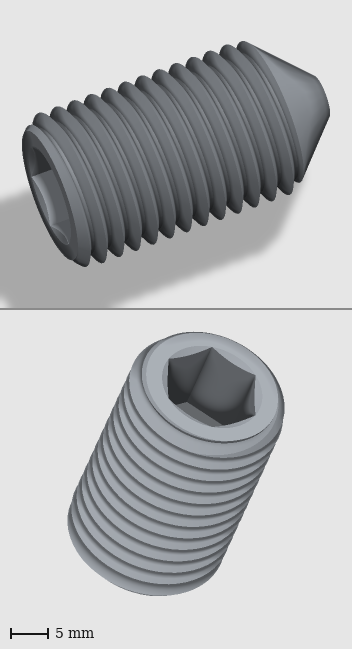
import cadquery as cq
import math

length = 40.0
major_radius = 22.0 / 2
tip_radius = 3.0
head_face_radius = 9.3
envelope_radius = major_radius + 0.8

pitch = length / 16
root_radius = 9.25
root_flat = 0.5
first_crest_offset = 1.0
lead_in_turns = 2
ridge_embed = 0.2

socket_flats = 12.2
socket_corners = socket_flats / math.cos(math.pi / 6)
socket_depth = 12.0
mouth_angle = 30.0


def revolve_profile(outline):
    """Turn an outline of (radius, height) points about the screw axis."""
    return cq.Workplane("XZ").polyline(outline).close().revolve(360, (0, 0), (0, 1))


def make_point_profile(radius):
    """Outline points of the 45 degree point rising from a given radius to the tip and the axis."""
    cone_length = radius - tip_radius
    return [(radius, length - cone_length), (tip_radius, length), (0, length)]


def make_core():
    """Body inside the thread roots, ending in the point."""
    return revolve_profile([(0, 0), (root_radius, 0)] + make_point_profile(root_radius))


def make_end_envelope():
    """Oversize body whose 45 degree head chamfer and point trim the thread ends."""
    head = [(0, 0), (head_face_radius, 0), (envelope_radius, envelope_radius - head_face_radius)]
    return revolve_profile(head + make_point_profile(envelope_radius))


def make_thread_ridge():
    """V-shaped ridge swept along a helix that overruns both ends of the screw."""
    start = first_crest_offset - lead_in_turns * pitch
    base_radius = root_radius - ridge_embed
    root_half = (pitch - root_flat) / 2
    base_half = root_half * (major_radius - base_radius) / (major_radius - root_radius)
    section = [
        (base_radius, start - base_half),
        (major_radius, start),
        (base_radius, start + base_half),
    ]
    helix = cq.Wire.makeHelix(pitch, length - start, root_radius).translate(cq.Vector(0, 0, start))
    return cq.Workplane("XZ").polyline(section).close().sweep(cq.Workplane(helix), isFrenet=True)


def make_socket():
    """Hexagonal pocket with two corners on the vertical line, and a cone whose rim meets the corners."""
    hexagon = cq.Workplane("XY").polygon(6, socket_corners).extrude(socket_depth)
    hexagon = hexagon.rotate((0, 0, 0), (0, 0, 1), 30)
    rim_radius = socket_corners / 2
    cone_depth = rim_radius * math.tan(math.radians(mouth_angle))
    cone = cq.Workplane(cq.Solid.makeCone(rim_radius, 0, cone_depth))
    return hexagon.union(cone)


thread = make_thread_ridge().intersect(make_end_envelope())
screw = make_core().union(thread).cut(make_socket())
result = screw.rotate((0, 0, 0), (1, 0, 0), -90).translate((0, -length / 2, 0))